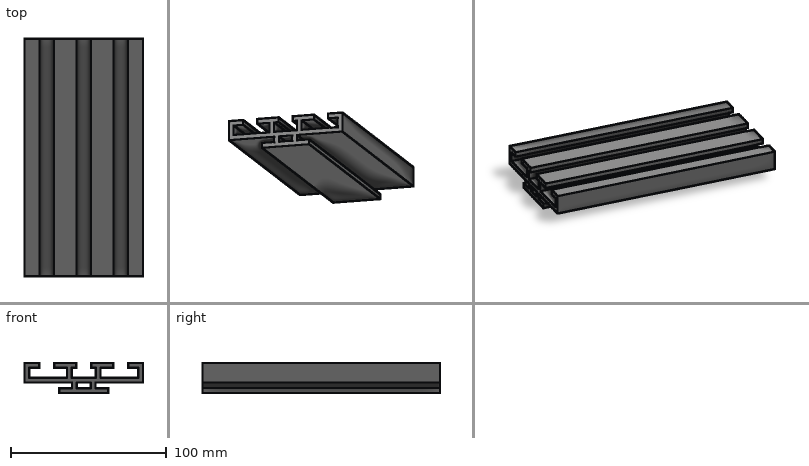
import cadquery as cq

width = 76.2
length = 152.4
height = 19.4

wall = 3.2
channel_body_height = 12.6
slot_mouth = 9.5
side_lip = 9.6
stem_spacing = 15.2
foot_width = 31.7

top = height / 2
bottom = -height / 2
web_bottom = top - channel_body_height
lip_bottom = top - wall
tee_width = (width - 2 * side_lip - 3 * slot_mouth) / 2
tee_inner = slot_mouth / 2
stem_inner = stem_spacing / 2


def bar(x_min, x_max, z_min, z_max):
    """Full-length rectangular bar spanning the given X and Z limits."""
    return cq.Workplane("XY").box(x_max - x_min, length, z_max - z_min).translate(
        ((x_min + x_max) / 2, 0, (z_min + z_max) / 2)
    )


web = bar(-width / 2, width / 2, web_bottom, web_bottom + wall)
foot = bar(-foot_width / 2, foot_width / 2, bottom, bottom + wall)

side_wall = bar(width / 2 - wall, width / 2, web_bottom, top)
lip = bar(width / 2 - side_lip, width / 2, lip_bottom, top)
stem = bar(stem_inner, stem_inner + wall, web_bottom, top)
tee_head = bar(tee_inner, tee_inner + tee_width, lip_bottom, top)
leg = bar(stem_inner - wall, stem_inner, bottom, web_bottom + wall)

result = web.union(foot)
for member in (side_wall, lip, stem, tee_head, leg):
    result = result.union(member).union(member.mirror("YZ"))
result = result.clean()